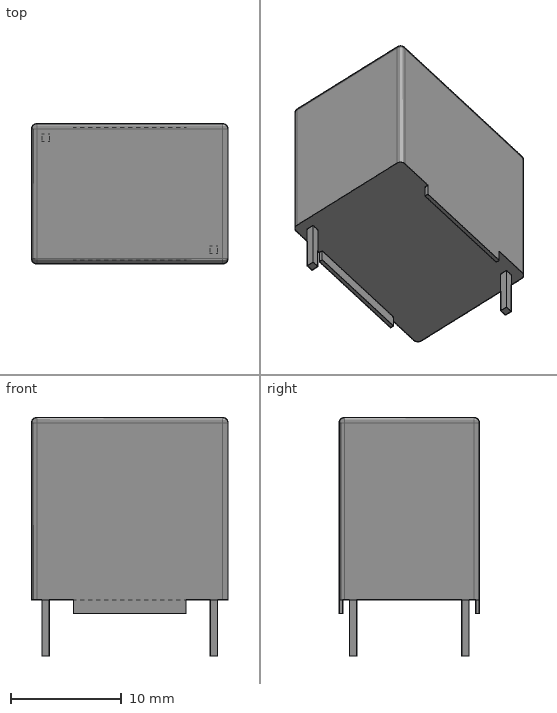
import cadquery as cq

case_length = 17.8
case_width = 12.7
overall_height = 21.6
edge_radius = 0.5

pin_side = 0.7
pin_length = 5.1
pin_spacing_x = 15.22
pin_spacing_y = 10.15

tab_length = 10.2
tab_thickness = 0.35
tab_height = 1.25

case_height = overall_height - pin_length


def make_case():
    """Block standing on Z = 0, rounded everywhere except at its bottom rim."""
    block = cq.Workplane("XY").box(
        case_length, case_width, case_height, centered=(True, True, False)
    )
    return block.edges("|Z or >Z").fillet(edge_radius)


def make_pins():
    """Two square pins hanging from the underside, at (-X, +Y) and (+X, -Y)."""
    pin_x = pin_spacing_x / 2
    pin_y = pin_spacing_y / 2
    return (
        cq.Workplane("XY")
        .pushPoints([(-pin_x, pin_y), (pin_x, -pin_y)])
        .rect(pin_side, pin_side)
        .extrude(-pin_length)
    )


def make_tabs():
    """Two thin tabs continuing the long walls below the underside."""
    tab_spacing = case_width - tab_thickness
    return (
        cq.Workplane("XY")
        .rarray(0.22, tab_spacing, 1, 2)
        .rect(tab_length, tab_thickness)
        .extrude(-tab_height)
    )


result = make_case().union(make_pins()).union(make_tabs())